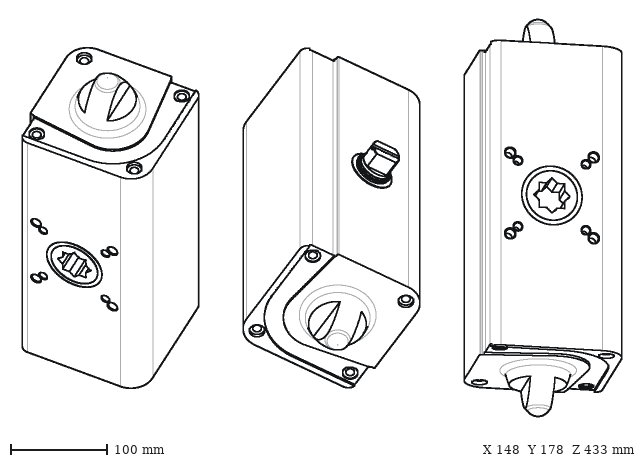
import cadquery as cq
import math


height = 333.0
near_side = 69.5
far_side = 78.5
step_depth = 5.5
step_at = 41.0
step_crest_radius = 1.2
step_root_radius = 3.0
large_radius = 25.0
small_radius = 9.5
half_height = height / 2
setback_side = near_side - step_depth

channel_depth = 2.5
channel_center = 12.5
channel_inner_radius = 39.2
channel_outer_radius = 59.0
channel_slant = math.radians(7.4)

screw_spacing = 113.0
screw_head_diameter = 16.0
screw_head_depth = 4.0
screw_hole_diameter = 9.0
screw_hole_depth = 20.0

cone_height = 50.0
cone_foot_radius = 40.0
flare_radius = 33.8
flare_height = 4.7
ogive_mid_radius = 27.0
ogive_mid_height = 22.2
shoulder_radius = 13.2
shoulder_height = 41.7
tip_radius = 11.0
tip_height = 44.2
tip_mid_radius = 5.8
tip_mid_height = 48.7
blade_width = 26.0
blade_root_height = 15.6

small_circle_diameter = 102.0
small_hole_diameter = 8.38
small_thread_diameter = 10.0
large_circle_diameter = 125.0
large_hole_diameter = 10.11
large_thread_diameter = 12.0
mounting_hole_depth = 16.0

ring_diameter = 64.0
ring_depth = 0.5
drive_end_diameter = 54.0
drive_end_length = 60.0
body_diameter = 48.0
body_projection = 1.0
neck_diameter = 38.0
neck_end = 73.6
clip_diameter = 39.5
clip_thickness = 0.4
ledge_diameter = 35.0
ledge_end = 76.0
collar_diameter = 33.5
tang_diameter = 32.0
tang_flats = 22.0
tang_length = 19.5
tang_chamfer = 0.6
shaft_projection = 30.0
slot_width = 4.0
slot_depth = 3.8
star_square = 27.0
star_depth = 30.0

shaft_end = near_side + shaft_projection
tang_start = shaft_end - tang_length


def round_corners(prism, radius, points):
    """Fillet the Z edges of the housing prism that pass through the given points."""
    reach = 0.1
    for x, y in points:
        corner = cq.selectors.BoxSelector(
            (x - reach, y - reach, -height), (x + reach, y + reach, height)
        )
        prism = prism.edges(corner).fillet(radius)
    return prism


def housing_block():
    block = (
        cq.Workplane("XY", origin=(0, 0, -half_height))
        .moveTo(-near_side, near_side)
        .lineTo(step_at, near_side)
        .lineTo(step_at, setback_side)
        .lineTo(far_side, setback_side)
        .lineTo(far_side, -far_side)
        .lineTo(-setback_side, -far_side)
        .lineTo(-setback_side, -step_at)
        .lineTo(-near_side, -step_at)
        .close()
        .extrude(height)
    )
    step_crests = [(step_at, near_side), (-near_side, -step_at)]
    step_roots = [(step_at, setback_side), (-setback_side, -step_at)]
    small_corners = [(far_side, setback_side), (-setback_side, -far_side)]
    large_corners = [(-near_side, near_side), (far_side, -far_side)]
    for radius, corners in (
        (step_crest_radius, step_crests),
        (step_root_radius, step_roots),
        (small_radius, small_corners),
        (large_radius, large_corners),
    ):
        block = round_corners(block, radius, corners)
    return block


def rounded_quadrant(radius, slant):
    """Region above and left of an arc about (c, -c) continued by two tangent lines of equal slant."""
    c = channel_center
    reach = 2 * far_side
    along_x = radius * math.cos(slant)
    along_y = radius * math.sin(slant)
    drift = reach * math.tan(slant)
    diagonal = radius * math.sqrt(0.5)
    right_tangent = (c + along_x, -c + along_y)
    lower_tangent = (c - along_y, -c - along_x)
    return (
        cq.Workplane("XY", origin=(0, 0, half_height - channel_depth))
        .moveTo(right_tangent[0] - drift, right_tangent[1] + reach)
        .lineTo(*right_tangent)
        .threePointArc((c + diagonal, -c - diagonal), lower_tangent)
        .lineTo(lower_tangent[0] - reach, lower_tangent[1] + drift)
        .lineTo(-reach, reach)
        .close()
        .extrude(channel_depth)
    )


def end_channel():
    outer = rounded_quadrant(channel_outer_radius, 0.0)
    return outer.cut(rounded_quadrant(channel_inner_radius, channel_slant))


def end_screw_recesses():
    middle = (far_side - near_side) / 2
    recesses = (
        cq.Workplane("XY", origin=(middle, -middle, half_height))
        .rect(screw_spacing, screw_spacing, forConstruction=True)
        .vertices()
        .circle(screw_head_diameter / 2)
        .extrude(-screw_head_depth)
    )
    holes = (
        cq.Workplane("XY", origin=(middle, -middle, half_height))
        .rect(screw_spacing, screw_spacing, forConstruction=True)
        .vertices()
        .circle(screw_hole_diameter / 2)
        .extrude(-screw_hole_depth)
    )
    return recesses.union(holes)


def end_cone():
    """Pointed cone that flares tangentially into the end face, with a blade left across its top."""
    flare_width = cone_foot_radius - flare_radius
    flare_arc_radius = (flare_width**2 + flare_height**2) / (2 * flare_height)
    cone = (
        cq.Workplane("XZ")
        .moveTo(0, 0)
        .lineTo(cone_foot_radius, 0)
        .radiusArc((flare_radius, flare_height), flare_arc_radius)
        .threePointArc((ogive_mid_radius, ogive_mid_height), (shoulder_radius, shoulder_height))
        .lineTo(tip_radius, tip_height)
        .threePointArc((tip_mid_radius, tip_mid_height), (0, cone_height))
        .close()
        .revolve(360, (0, 0, 0), (0, 1, 0))
    )
    root = cq.Workplane("XY").circle(cone_foot_radius).extrude(blade_root_height)
    blade = cq.Workplane("XY").rect(blade_width, 2 * cone_foot_radius).extrude(cone_height)
    return cone.intersect(root.union(blade)).translate((0, 0, half_height))


def countersunk_hole(diameter, thread_diameter):
    """Blind hole along +Y from the -Y face, its mouth widened at 45 degrees to the thread diameter."""
    countersink = (thread_diameter - diameter) / 2
    return (
        cq.Workplane("XY")
        .moveTo(0, -far_side)
        .lineTo(thread_diameter / 2, -far_side)
        .lineTo(diameter / 2, countersink - far_side)
        .lineTo(diameter / 2, mounting_hole_depth - far_side)
        .lineTo(0, mounting_hole_depth - far_side)
        .close()
        .revolve(360, (0, 0, 0), (0, 1, 0))
    )


def mounting_holes():
    small_hole = countersunk_hole(small_hole_diameter, small_thread_diameter)
    large_hole = countersunk_hole(large_hole_diameter, large_thread_diameter)
    small_offset = small_circle_diameter / 2 * math.sqrt(0.5)
    large_offset = large_circle_diameter / 2 * math.sqrt(0.5)
    holes = cq.Workplane("XY")
    for side_x in (-1, 1):
        for side_z in (-1, 1):
            holes = holes.union(small_hole.translate((side_x * small_offset, 0, side_z * small_offset)))
            holes = holes.union(large_hole.translate((side_x * large_offset, 0, side_z * large_offset)))
    return holes


def along_y(diameter, start, end):
    """Cylinder on the Y axis between two Y positions."""
    return cq.Workplane("XZ", origin=(0, start, 0)).circle(diameter / 2).extrude(start - end)


def shaft_journals():
    """The stretches of the shaft that run in the housing."""
    drive_end = along_y(drive_end_diameter, -far_side, drive_end_length - far_side)
    return drive_end.union(along_y(body_diameter, -far_side, near_side + body_projection))


def make_housing():
    housing = housing_block()
    for end in (end_channel(), end_screw_recesses()):
        housing = housing.cut(end).cut(end.mirror("XY"))
    housing = housing.union(end_cone()).union(end_cone().mirror("XY"))
    housing = housing.cut(mounting_holes())
    housing = housing.cut(along_y(ring_diameter, -far_side, ring_depth - far_side))
    return housing.cut(shaft_journals())


def star_socket():
    """Two squares turned 45 degrees to each other."""
    start = cq.Workplane("XZ", origin=(0, -far_side, 0))
    square = start.rect(star_square, star_square).extrude(-star_depth)
    return square.union(square.rotate((0, 0, 0), (0, 1, 0), 45))


def tang():
    bar = along_y(tang_diameter, tang_start, shaft_end).faces(">Y").chamfer(tang_chamfer)
    flats = (
        cq.Workplane("XZ", origin=(0, tang_start, 0))
        .rect(tang_diameter, tang_flats)
        .extrude(-tang_length)
    )
    slot = (
        cq.Workplane("XZ", origin=(0, shaft_end, 0))
        .rect(tang_diameter, slot_width)
        .extrude(slot_depth)
    )
    return bar.intersect(flats).cut(slot)


def make_shaft():
    shaft = shaft_journals()
    shaft = shaft.union(along_y(neck_diameter, near_side, neck_end))
    shaft = shaft.union(along_y(clip_diameter, neck_end - clip_thickness, neck_end))
    shaft = shaft.union(along_y(ledge_diameter, near_side, ledge_end))
    shaft = shaft.union(along_y(collar_diameter, near_side, tang_start))
    shaft = shaft.union(tang())
    return shaft.cut(star_socket())


housing = make_housing()
shaft = make_shaft()
result = cq.Compound.makeCompound([housing.val(), shaft.val()])